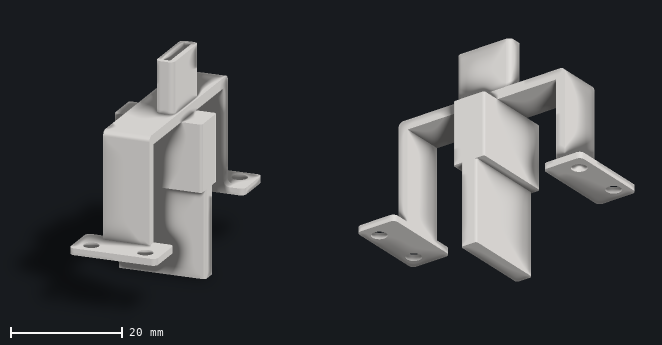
import cadquery as cq

length = 50.0
width = 17.0
height = 42.0

strip_width = 9.0
strip_thickness = 2.0
bracket_span = 37.0
bracket_top = 32.0
bend_radius = 1.0
bracket_underside = bracket_top - strip_thickness
inner_span = bracket_span - 2 * strip_thickness

foot_bottom = 10.0
foot_thickness = 1.3
foot_corner_radius = 1.0
foot_top = foot_bottom + foot_thickness
foot_length = (length - inner_span) / 2
foot_center_y = (length - foot_length) / 2
hole_diameter = 3.0
hole_spacing_x = 10.5
hole_spacing_y = 44.5
leg_fillet_radius = 1.0

block_depth = 7.0
block_bottom = 17.0
tongue_depth = 3.5
corner_radius = 0.5

plug_center_x = 2.25
plug_width = 3.5
plug_depth = 12.0
plug_corner_radius = 1.0
slot_width = 1.5
slot_depth_y = 10.0


def upright_box(size_x, size_y, bottom, top, center=(0, 0)):
    """Box between two heights, centred on a point of the XY plane."""
    return (
        cq.Workplane("XY", origin=(*center, bottom))
        .rect(size_x, size_y)
        .extrude(top - bottom)
    )


def rounded_box(size_x, size_y, bottom, top, radius, center=(0, 0)):
    """Upright box with rounded vertical edges."""
    return upright_box(size_x, size_y, bottom, top, center).edges("|Z").fillet(radius)


def make_bracket():
    """U-shaped strip with its two outer bends rounded."""
    outer = upright_box(strip_width, bracket_span, foot_bottom, bracket_top)
    outer = outer.edges("|X and >Z").fillet(bend_radius)
    opening = upright_box(strip_width, inner_span, foot_bottom, bracket_underside)
    return outer.cut(opening)


def make_feet():
    """Two rounded foot plates with two screw holes each."""
    feet = cq.Workplane("XY")
    for side in (-1, 1):
        center = (0, side * foot_center_y)
        feet = feet.add(rounded_box(width, foot_length, foot_bottom, foot_top, foot_corner_radius, center))
    holes = (
        cq.Workplane("XY", origin=(0, 0, foot_bottom))
        .rarray(hole_spacing_x, hole_spacing_y, 2, 2)
        .circle(hole_diameter / 2)
        .extrude(foot_thickness)
    )
    return feet.combine().cut(holes)


def make_leg_fillet(side):
    """Concave fillet beside the +Y leg, on its -X (side = -1) or +X (side = 1) face."""
    inner_x = side * strip_width / 2
    outer_x = inner_x + side * leg_fillet_radius
    arc_offset = leg_fillet_radius * (1 - 0.5**0.5)
    arc_middle = (inner_x + side * arc_offset, foot_top + arc_offset)
    return (
        cq.Workplane("XZ", origin=(0, bracket_span / 2, 0))
        .moveTo(inner_x, foot_top)
        .lineTo(outer_x, foot_top)
        .threePointArc(arc_middle, (inner_x, foot_top + leg_fillet_radius))
        .close()
        .extrude(strip_thickness)
    )


def make_plug():
    """Upright rounded plug with a rectangular pocket down to the bracket's top face."""
    center = (plug_center_x, 0)
    body = rounded_box(plug_width, plug_depth, bracket_top, height, plug_corner_radius, center)
    return body.cut(upright_box(slot_width, slot_depth_y, bracket_top, height, center))


block = rounded_box(width, block_depth, block_bottom, bracket_underside, corner_radius)
tongue = rounded_box(width, tongue_depth, 0, block_bottom, corner_radius)

result = make_bracket().union(make_feet())
for side in (-1, 1):
    result = result.union(make_leg_fillet(side))
result = result.union(block).union(tongue).union(make_plug())